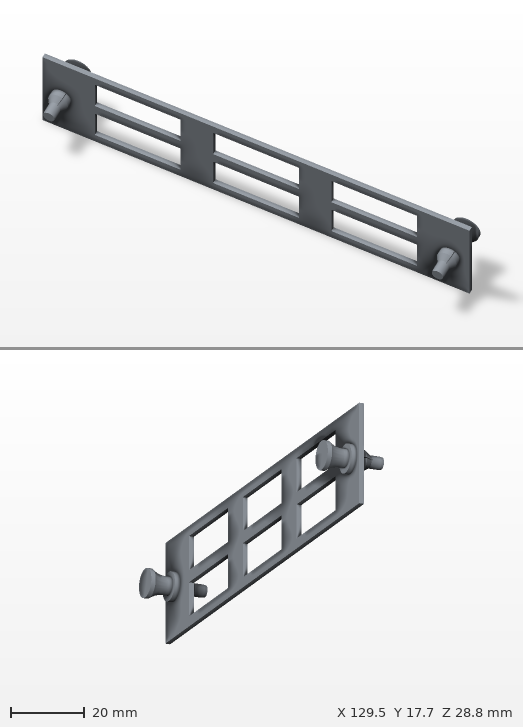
import cadquery as cq
import math

PLATE_LENGTH = 129.5
PLATE_HEIGHT = 28.8
PLATE_THICKNESS = 1.4

WINDOW_COLUMNS = 3
WINDOW_ROWS = 2
WINDOW_WIDTH = 26.0
WINDOW_HEIGHT = 9.7
WINDOW_PITCH_X = 35.9
WINDOW_PITCH_Z = 13.2

FASTENER_X = 59.0

GROMMET_LIP_LENGTH = 0.4
GROMMET_CONE_LENGTH = 1.8
GROMMET_SHANK_RADIUS = 3.0
GROMMET_SHANK_LENGTH = 2.0
GROMMET_NECK_RADIUS = 2.6
GROMMET_NECK_GAP = 0.3
FLANGE_RADIUS = 4.1
FLANGE_THICKNESS = 1.5
COLLAR_HEIGHT = 0.4
SLIT_WIDTH = 0.3
SLIT_ANGLES = (60, 180, 300)

SHAFT_RADIUS = 1.5
TIP_RADIUS = 1.8
TIP_CHAMFER_LENGTH = 0.8
TIP_CHAMFER_DEPTH = 0.1
TIP_PROJECTION = 7.8
KNOB_NECK_RADIUS = 2.6
KNOB_NECK_LENGTH = 1.0
KNOB_FLARE_LENGTH = 4.3
KNOB_RADIUS = 4.1
KNOB_RIM_LENGTH = 1.3

SHANK_BACK_Y = -GROMMET_NECK_GAP
SHANK_FRONT_Y = SHANK_BACK_Y - GROMMET_SHANK_LENGTH
CONE_FRONT_Y = SHANK_FRONT_Y - GROMMET_CONE_LENGTH
GROMMET_FRONT_Y = CONE_FRONT_Y - GROMMET_LIP_LENGTH
FLANGE_BACK_Y = PLATE_THICKNESS + FLANGE_THICKNESS
COLLAR_BACK_Y = FLANGE_BACK_Y + COLLAR_HEIGHT
KNOB_FLARE_START_Y = COLLAR_BACK_Y + KNOB_NECK_LENGTH
KNOB_RIM_START_Y = KNOB_FLARE_START_Y + KNOB_FLARE_LENGTH
KNOB_BACK_Y = KNOB_RIM_START_Y + KNOB_RIM_LENGTH

FLARE_RISE = KNOB_RADIUS - KNOB_NECK_RADIUS
FLARE_ARC_RADIUS = (KNOB_FLARE_LENGTH**2 + FLARE_RISE**2) / (2 * FLARE_RISE)


def y_cylinder(radius, start_y, end_y):
    """Cylinder on the Y axis between two Y positions."""
    return cq.Workplane("XZ", origin=(0, end_y, 0)).circle(radius).extrude(end_y - start_y)


def spin(profile):
    """Revolve a closed radius-by-Y profile about the Y axis."""
    return profile.close().revolve(360, (0, 0, 0), (0, 1, 0))


def make_plate():
    plate = cq.Workplane("XZ", origin=(0, PLATE_THICKNESS, 0)).rect(PLATE_LENGTH, PLATE_HEIGHT)
    plate = plate.extrude(PLATE_THICKNESS)
    windows = (
        cq.Workplane("XZ", origin=(0, PLATE_THICKNESS, 0))
        .rarray(WINDOW_PITCH_X, WINDOW_PITCH_Z, WINDOW_COLUMNS, WINDOW_ROWS)
        .rect(WINDOW_WIDTH, WINDOW_HEIGHT)
        .extrude(PLATE_THICKNESS)
    )
    plate = plate.cut(windows)
    for x in (-FASTENER_X, FASTENER_X):
        hole = y_cylinder(GROMMET_NECK_RADIUS, 0, PLATE_THICKNESS)
        plate = plate.cut(hole.translate((x, 0, 0)))
    return plate


def make_slit(angle):
    """Radial slit that splits the grommet in front of the plate."""
    length = SHANK_BACK_Y - GROMMET_FRONT_Y
    slit = cq.Workplane("XY").box(GROMMET_SHANK_RADIUS + SLIT_WIDTH, length, SLIT_WIDTH, (False, False, True))
    slit = slit.translate((0, GROMMET_FRONT_Y, 0))
    return slit.rotate((0, 0, 0), (0, 1, 0), angle)


def make_grommet(x):
    profile = (
        cq.Workplane("XY")
        .moveTo(SHAFT_RADIUS, GROMMET_FRONT_Y)
        .lineTo(TIP_RADIUS, GROMMET_FRONT_Y)
        .lineTo(TIP_RADIUS, CONE_FRONT_Y)
        .lineTo(GROMMET_SHANK_RADIUS, SHANK_FRONT_Y)
        .lineTo(GROMMET_SHANK_RADIUS, SHANK_BACK_Y)
        .lineTo(GROMMET_NECK_RADIUS, SHANK_BACK_Y)
        .lineTo(GROMMET_NECK_RADIUS, PLATE_THICKNESS)
        .lineTo(FLANGE_RADIUS, PLATE_THICKNESS)
        .lineTo(FLANGE_RADIUS, FLANGE_BACK_Y)
        .lineTo(KNOB_NECK_RADIUS, FLANGE_BACK_Y)
        .lineTo(KNOB_NECK_RADIUS, COLLAR_BACK_Y)
        .lineTo(SHAFT_RADIUS, COLLAR_BACK_Y)
    )
    grommet = spin(profile)
    for angle in SLIT_ANGLES:
        grommet = grommet.cut(make_slit(angle))
    return grommet.translate((x, 0, 0))


def make_plunger(x):
    half_angle = math.asin(KNOB_FLARE_LENGTH / FLARE_ARC_RADIUS) / 2
    flare_mid_radius = KNOB_NECK_RADIUS + FLARE_ARC_RADIUS * (1 - math.cos(half_angle))
    flare_mid_y = KNOB_FLARE_START_Y + FLARE_ARC_RADIUS * math.sin(half_angle)
    profile = (
        cq.Workplane("XY")
        .moveTo(0, -TIP_PROJECTION)
        .lineTo(TIP_RADIUS - TIP_CHAMFER_DEPTH, -TIP_PROJECTION)
        .lineTo(TIP_RADIUS, TIP_CHAMFER_LENGTH - TIP_PROJECTION)
        .lineTo(TIP_RADIUS, GROMMET_FRONT_Y)
        .lineTo(SHAFT_RADIUS, GROMMET_FRONT_Y)
        .lineTo(SHAFT_RADIUS, COLLAR_BACK_Y)
        .lineTo(KNOB_NECK_RADIUS, COLLAR_BACK_Y)
        .lineTo(KNOB_NECK_RADIUS, KNOB_FLARE_START_Y)
        .threePointArc((flare_mid_radius, flare_mid_y), (KNOB_RADIUS, KNOB_RIM_START_Y))
        .lineTo(KNOB_RADIUS, KNOB_BACK_Y)
        .lineTo(0, KNOB_BACK_Y)
    )
    return spin(profile).translate((x, 0, 0))


plate = make_plate()
grommets = [make_grommet(x) for x in (-FASTENER_X, FASTENER_X)]
plungers = [make_plunger(x) for x in (-FASTENER_X, FASTENER_X)]

result = cq.Compound.makeCompound(
    [plate.val(), *[grommet.val() for grommet in grommets], *[plunger.val() for plunger in plungers]]
)